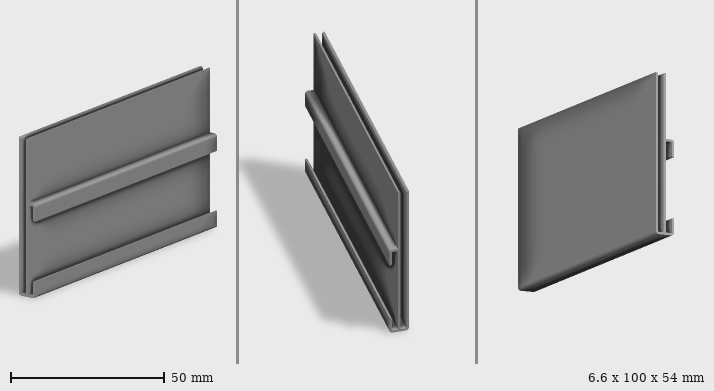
import cadquery as cq

length = 100.0
width = 6.6
height = 54.0

wall = 0.8
back_wall_thickness = 0.9
back_wall_x = 2.8
hook_height = 5.8
upper_hook_top = 32.0
corner_radius = 1.0
wall_chamfer = 0.5
hook_chamfer = 0.25


def bar(x_start, z_start, x_size, z_size):
    """Rectangular bar running the full length, centred on Y = 0."""
    return cq.Workplane("XY").box(x_size, length, z_size, centered=(False, True, False)).translate(
        (x_start, 0, z_start)
    )


hook_x = width - wall

floor = bar(0, 0, width, wall)
front_wall = bar(0, 0, wall, height)
back_wall = bar(back_wall_x, 0, back_wall_thickness, height)

lower_lip = bar(hook_x, 0, wall, hook_height)
upper_arm = bar(back_wall_x, upper_hook_top - wall, width - back_wall_x, wall)
upper_lip = bar(hook_x, upper_hook_top - hook_height, wall, hook_height)

profile = floor
for piece in (front_wall, back_wall, lower_lip, upper_arm, upper_lip):
    profile = profile.union(piece)


def edges_at(body, points):
    """Lengthwise edges passing through the given (x, z) points."""
    found = [body.edges("|Y").edges(cq.NearestToPointSelector((x, 0, z))).val() for x, z in points]
    return body.newObject(found)


outer_bends = [(0, 0), (width, 0), (width, upper_hook_top)]
wall_tips = [
    (wall, height),
    (back_wall_x, height),
]
hook_tips = [
    (hook_x, hook_height),
    (hook_x, upper_hook_top - hook_height),
]

profile = edges_at(profile, outer_bends).fillet(corner_radius)
profile = edges_at(profile, wall_tips).chamfer(wall_chamfer)
result = edges_at(profile, hook_tips).chamfer(hook_chamfer)